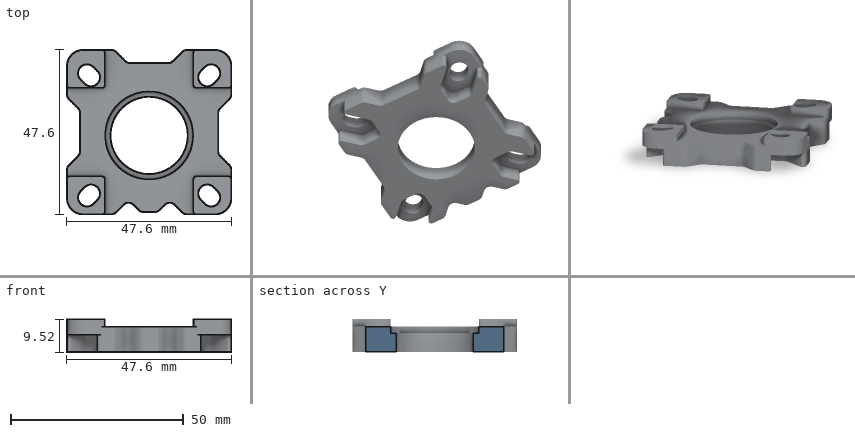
import cadquery as cq
import math

side = 47.6
height = 9.52
half = side / 2
plate_top = 7.4
pocket_top = 5.0

bore_y = -0.95

pad_size = 11.0
corner_radius = 4.75
slot_offset = 17.4
slot_radius = 2.55
slot_travel = 1.15

bore_radius = 11.15
counterbore_radius = 12.7
counterbore_depth = 1.85

notch_depth = 3.8
notch_mouth = 10.15
notch_floor = notch_mouth - notch_depth
tab_half_width = 2.45
tab_recess = 0.65

large_radius = 2.0
small_radius = 0.8
pocket_reach = 6.0
pocket_lane = 6.7


def rounded_prism(corners, bottom, top):
    """Extrude a closed outline of (x, y, radius) corners from bottom to top."""
    path = None
    for index, (x, y, radius) in enumerate(corners):
        corner = cq.Vector(x, y)
        to_previous = (cq.Vector(*corners[index - 1][:2]) - corner).normalized()
        to_next = (cq.Vector(*corners[(index + 1) % len(corners)][:2]) - corner).normalized()
        half_angle = to_previous.getAngle(to_next) / 2
        setback = radius / math.tan(half_angle)
        bulge = radius / math.sin(half_angle) - radius
        start = corner + to_previous * setback
        middle = corner + (to_previous + to_next).normalized() * bulge
        end = corner + to_next * setback
        if path is None:
            path = cq.Workplane("XY", origin=(0, 0, bottom)).moveTo(start.x, start.y)
        else:
            path = path.lineTo(start.x, start.y)
        path = path.threePointArc((middle.x, middle.y), (end.x, end.y))
    return path.close().extrude(top - bottom)


def pocket_corners(y_sign):
    """Pocket wall at a +X corner, from the Y side round to the X side."""
    slot_x = half - slot_offset
    slot_y = half - y_sign * bore_y - slot_offset
    insets = [
        (pocket_lane - slot_y, -slot_y, small_radius),
        (pocket_reach, pocket_reach - pocket_lane, large_radius),
        (pocket_reach, pocket_reach, large_radius),
        (pocket_reach - pocket_lane, pocket_reach, large_radius),
        (-slot_x, pocket_lane - slot_x, small_radius),
    ]
    return [(half - slot_x - u, y_sign * (half - slot_y - v), radius) for u, v, radius in insets]


def outline(front_corner, back_corner):
    """Notched square, symmetric about X = 0, with the given shapes at its corners."""
    valley_depth = (notch_mouth - tab_half_width + tab_recess) / 2
    front_notch = [
        (tab_half_width, tab_recess - half),
        (notch_mouth - valley_depth, valley_depth - half),
        (notch_mouth, -half),
    ]
    side_notch = [
        (half, -notch_mouth),
        (half - notch_depth, -notch_floor),
        (half - notch_depth, notch_floor),
        (half, notch_mouth),
    ]
    back_notch = [(notch_mouth, half), (notch_floor, half - notch_depth)]
    front, sides, back = [
        [(x, y, large_radius) for x, y in notch] for notch in (front_notch, side_notch, back_notch)
    ]
    right = front + front_corner + sides + back_corner + back
    left = [(-x, y, radius) for x, y, radius in reversed(right)]
    return right + left


def corner_pad(x_sign, y_sign):
    """Flange and pad at one corner, with all its upright edges rounded."""
    inner = half - pad_size
    corners = [
        (half, half, corner_radius),
        (inner, half, small_radius),
        (inner, inner, small_radius),
        (half, inner, small_radius),
    ]
    corners = [(x_sign * x, y_sign * y, radius) for x, y, radius in corners]
    return rounded_prism(corners, pocket_top, height)


def diagonal_slot(x_sign, y_sign):
    """Through slot lengthwise along the diagonal of its corner."""
    angle = 45 * x_sign * y_sign
    length = slot_travel * math.sqrt(2) + 2 * slot_radius
    return (
        cq.Workplane("XY")
        .center(x_sign * slot_offset, bore_y + y_sign * slot_offset)
        .slot2D(length, 2 * slot_radius, angle)
        .extrude(height)
    )


front_pocket = pocket_corners(-1)
back_pocket = pocket_corners(1)
body = rounded_prism(outline(front_pocket, back_pocket[::-1]), 0, pocket_top)

front_rounding = [(half, -half, corner_radius)]
back_rounding = [(half, half, corner_radius)]
body = body.union(rounded_prism(outline(front_rounding, back_rounding), pocket_top, plate_top))

for x_sign in (-1, 1):
    for y_sign in (-1, 1):
        body = body.union(corner_pad(x_sign, y_sign))
        body = body.cut(diagonal_slot(x_sign, y_sign))

bore = cq.Workplane("XY", origin=(0, bore_y, 0)).circle(bore_radius).extrude(plate_top)
counterbore = (
    cq.Workplane("XY", origin=(0, bore_y, plate_top - counterbore_depth))
    .circle(counterbore_radius)
    .extrude(counterbore_depth)
)
result = body.cut(bore).cut(counterbore)